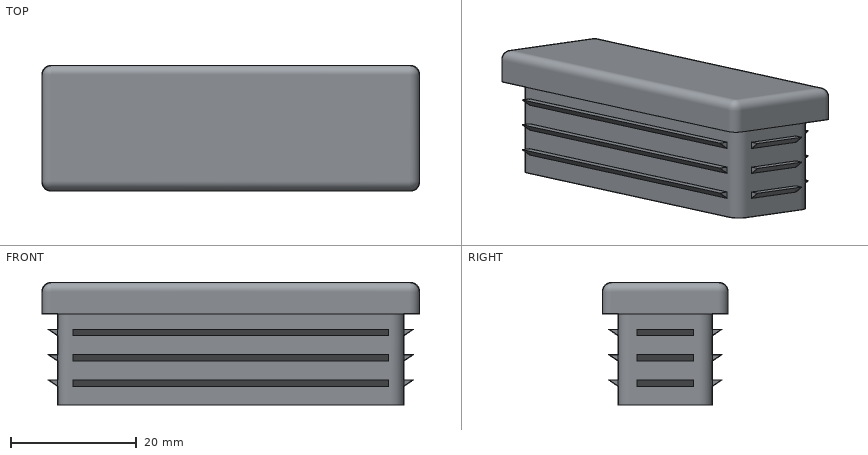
import cadquery as cq

cap_length = 60.0
cap_width = 20.0
cap_height = 5.0
cap_radius = 1.5

total_height = 19.5
plug_length = 55.0
plug_width = 15.0
plug_height = total_height - cap_height
plug_corner_radius = 2.0

fin_reach = 1.5
fin_height = 1.0
fin_count = 3
fin_pitch = 4.0
long_fin_length = 50.1
short_fin_length = 9.0
fin_embed = 0.3


def make_cap():
    block = cq.Workplane("XY").box(cap_length, cap_width, cap_height, centered=(True, True, False))
    rounded = block.edges("|Z or >Z").fillet(cap_radius)
    return rounded.translate((0, 0, plug_height))


def make_plug():
    block = cq.Workplane("XY").box(plug_length, plug_width, plug_height, centered=(True, True, False))
    return block.edges("|Z").fillet(plug_corner_radius)


def make_fin(wall_distance, length, top_z):
    """Triangular fin on the +X wall, centred along Y."""
    root = wall_distance - fin_embed
    profile = [
        (root, top_z),
        (wall_distance + fin_reach, top_z),
        (wall_distance, top_z - fin_height),
        (root, top_z - fin_height),
    ]
    return cq.Workplane("XZ").polyline(profile).close().extrude(length / 2, both=True)


result = make_plug().union(make_cap())

for level in range(1, fin_count + 1):
    top_z = level * fin_pitch
    end_fin = make_fin(plug_length / 2, short_fin_length, top_z)
    side_fin = make_fin(plug_width / 2, long_fin_length, top_z)
    for end_angle in (0, 180):
        side_angle = end_angle + 90
        result = result.union(end_fin.rotate((0, 0, 0), (0, 0, 1), end_angle))
        result = result.union(side_fin.rotate((0, 0, 0), (0, 0, 1), side_angle))